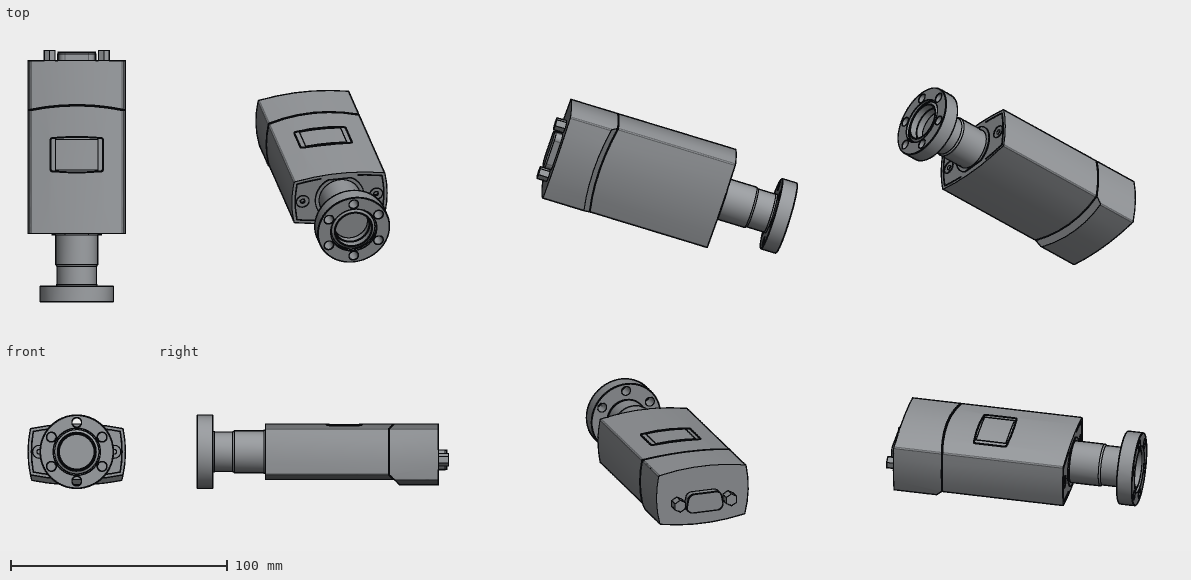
import cadquery as cq
import math


FLANGE_THICKNESS = 7.4
WELD_END = 8.2
NECK_END = 16.5
SLEEVE_START = 17.4
BODY_START = 31.5
BODY_END = 111.3
CONNECTOR_END = 115.2
NUT_END = 116.0

FLANGE_DIAMETER = 34.0
FLANGE_CHAMFER = 0.3
BOLT_CIRCLE_DIAMETER = 27.0
BOLT_HOLE_DIAMETER = 4.3
BOLT_COUNT = 6
EDGE_BREAK = 0.15
SEAL_RECESS_DIAMETER = 21.6
SEAL_RECESS_DEPTH = 1.3
KNIFE_FOOT_DIAMETER = 20.4
KNIFE_DIAMETER = 18.0
KNIFE_DEPTH = 0.6
BORE_DIAMETER = 16.0
BORE_DEPTH = 7.3
BORE_MOUTH_DIAMETER = 17.0
BORE_MOUTH_DEPTH = 4.0

WELD_DIAMETER = 18.7
NECK_DIAMETER = 18.4
SLEEVE_DIAMETER = 19.5
COLLAR_DIAMETER = 23.0
COLLAR_HEIGHT = 20.2
COLLAR_THICKNESS = 0.5

BODY_WIDTH = 45.0
BODY_HEIGHT = 25.8
SIDE_RADIUS = 52.0
CROWN_RADIUS = 105.0
BODY_EDGE_RADIUS = 0.7

COVER_DROP = 2.4
SEAM_Y = 88.7
SEAM_GAP = 0.45
SEAM_DEPTH = 0.25
SEAM_CORNER_Z = 10.5

PANEL_INSET = 1.5
PANEL_GROOVE = 0.2
PANEL_GROOVE_START = 8.7
SCREW_X = 17.3
SCREW_HEAD_DIAMETER = 6.0
SCREW_RECESS = 0.3
SCREW_SOCKET_DIAMETER = 2.16
SCREW_SOCKET_DEPTH = 1.0

WINDOW_Y = 67.95
WINDOW_WIDTH = 19.4
WINDOW_LENGTH = 14.0
WINDOW_DEPTH = 0.2
FRAME_WIDTH = 24.6
FRAME_LENGTH = 15.6
FRAME_BOW = 0.6
FRAME_CORNER_RADIUS = 1.2
FRAME_GROOVE = 0.4
FRAME_GROOVE_DEPTH = 0.25

CONNECTOR_Z = -3.7
CONNECTOR_WIDTH = 18.8
CONNECTOR_HEIGHT = 9.2
CONNECTOR_TAPER = math.radians(10)
CONNECTOR_CORNER_RADIUS = 2.9
CONNECTOR_LIP_LENGTH = 0.8
CONNECTOR_LIP_STEP = 0.1
NUT_SPACING = 25.1
NUT_ACROSS_FLATS = 5.1
HEX_HALF_ANGLE = 30


def plane_at(y):
    """XZ plane at the given Y; positive extrusion runs toward +Y and local Y is -Z."""
    return cq.Workplane(cq.Plane((0, y, 0), xDir=(1, 0, 0), normal=(0, 1, 0)))


def bowed_section(y, length, drop=0.0, inset=0.0):
    """Prism of the housing section, `drop` deeper at the bottom and shrunk by `inset` all round."""
    half_width = BODY_WIDTH / 2 - inset
    top = BODY_HEIGHT / 2 - inset
    bottom = -BODY_HEIGHT / 2 - drop + inset
    side_radius = SIDE_RADIUS - inset
    crown_radius = CROWN_RADIUS - inset
    reach = 2 * BODY_WIDTH

    def cylinder(radius, x, z):
        return plane_at(y).center(x, -z).circle(radius).extrude(length)

    crown = cylinder(crown_radius, 0, top - crown_radius)
    belly = cylinder(crown_radius, 0, bottom + crown_radius)
    left = cylinder(side_radius, side_radius - half_width, 0)
    right = cylinder(side_radius, half_width - side_radius, 0)
    block = plane_at(y).rect(reach, reach).extrude(length)
    return block.intersect(crown).intersect(belly).intersect(left).intersect(right)


def behind_seam(offset):
    """Space behind the seam: upright at mid height, sloping back at 45 degrees above and below."""
    top = BODY_HEIGHT
    y0 = SEAM_Y + offset
    rise = top - SEAM_CORNER_Z
    return (
        cq.Workplane("YZ")
        .moveTo(y0, -SEAM_CORNER_Z)
        .lineTo(y0, SEAM_CORNER_Z)
        .lineTo(y0 + rise, top)
        .lineTo(BODY_END, top)
        .lineTo(BODY_END, -top)
        .lineTo(y0 + rise, -top)
        .close()
        .extrude(BODY_WIDTH, both=True)
    )


def make_housing():
    length = BODY_END - BODY_START
    body = bowed_section(BODY_START, length).edges("|Y").fillet(BODY_EDGE_RADIUS)
    cover = bowed_section(BODY_START, length, COVER_DROP).edges("|Y").fillet(BODY_EDGE_RADIUS)
    core = bowed_section(BODY_START, length, 0, SEAM_DEPTH)
    seam = behind_seam(-SEAM_GAP).cut(behind_seam(0)).cut(core)
    return body.cut(seam).union(cover.intersect(behind_seam(0)))


def cut_front_panel(housing):
    groove = bowed_section(BODY_START, PANEL_GROOVE, 0, PANEL_INSET)
    groove = groove.cut(bowed_section(BODY_START, PANEL_GROOVE, 0, PANEL_INSET + PANEL_GROOVE))
    middle = plane_at(BODY_START).rect(2 * PANEL_GROOVE_START, 2 * BODY_HEIGHT).extrude(PANEL_GROOVE)
    housing = housing.cut(groove.cut(middle))
    places = [(-SCREW_X, 0), (SCREW_X, 0)]
    heads = plane_at(BODY_START).pushPoints(places).circle(SCREW_HEAD_DIAMETER / 2).extrude(SCREW_RECESS)
    sockets = (
        plane_at(BODY_START)
        .pushPoints(places)
        .circle(SCREW_SOCKET_DIAMETER / 2)
        .extrude(SCREW_RECESS + SCREW_SOCKET_DEPTH)
    )
    return housing.cut(heads).cut(sockets)


def frame_prism(inset):
    """Upright prism of the bowed window frame outline."""
    x = FRAME_WIDTH / 2 - inset
    y = FRAME_LENGTH / 2 - inset
    return (
        cq.Workplane("XY")
        .center(0, WINDOW_Y)
        .moveTo(-x, -y)
        .threePointArc((0, -y - FRAME_BOW), (x, -y))
        .lineTo(x, y)
        .threePointArc((0, y + FRAME_BOW), (-x, y))
        .close()
        .extrude(BODY_HEIGHT)
        .edges("|Z")
        .fillet(FRAME_CORNER_RADIUS - inset)
    )


def cut_window(housing):
    length = BODY_END - BODY_START
    groove = frame_prism(0).cut(frame_prism(FRAME_GROOVE))
    groove = groove.cut(bowed_section(BODY_START, length, 0, FRAME_GROOVE_DEPTH))
    window = (
        cq.Workplane("XY")
        .center(0, WINDOW_Y)
        .rect(WINDOW_WIDTH, WINDOW_LENGTH)
        .extrude(BODY_HEIGHT)
    )
    window = window.cut(bowed_section(BODY_START, length, 0, WINDOW_DEPTH))
    return housing.cut(groove).cut(window)


def make_neck():
    """Flange, neck and sleeve turned about the Y axis, with the knife edge and the blind bore."""
    flange = FLANGE_DIAMETER / 2
    return (
        cq.Workplane("XY")
        .moveTo(0, BORE_DEPTH)
        .lineTo(BORE_DIAMETER / 2, BORE_DEPTH)
        .lineTo(BORE_DIAMETER / 2, BORE_MOUTH_DEPTH)
        .lineTo(BORE_MOUTH_DIAMETER / 2, BORE_MOUTH_DEPTH)
        .lineTo(BORE_MOUTH_DIAMETER / 2, KNIFE_DEPTH)
        .lineTo(KNIFE_DIAMETER / 2, KNIFE_DEPTH)
        .lineTo(KNIFE_FOOT_DIAMETER / 2, SEAL_RECESS_DEPTH)
        .lineTo(SEAL_RECESS_DIAMETER / 2, SEAL_RECESS_DEPTH)
        .lineTo(SEAL_RECESS_DIAMETER / 2, EDGE_BREAK)
        .lineTo(SEAL_RECESS_DIAMETER / 2 + EDGE_BREAK, 0)
        .lineTo(flange - FLANGE_CHAMFER, 0)
        .lineTo(flange, FLANGE_CHAMFER)
        .lineTo(flange, FLANGE_THICKNESS - FLANGE_CHAMFER)
        .lineTo(flange - FLANGE_CHAMFER, FLANGE_THICKNESS)
        .lineTo(WELD_DIAMETER / 2, FLANGE_THICKNESS)
        .lineTo(WELD_DIAMETER / 2, WELD_END)
        .lineTo(NECK_DIAMETER / 2, WELD_END)
        .lineTo(NECK_DIAMETER / 2, NECK_END)
        .lineTo(SLEEVE_DIAMETER / 2, SLEEVE_START)
        .lineTo(SLEEVE_DIAMETER / 2, BODY_START)
        .lineTo(0, BODY_START)
        .close()
        .revolve(360, (0, 0, 0), (0, 1, 0))
    )


def cut_bolt_holes(neck):
    holes = (
        plane_at(0)
        .polarArray(BOLT_CIRCLE_DIAMETER / 2, 90, 360, BOLT_COUNT)
        .circle(BOLT_HOLE_DIAMETER / 2)
        .extrude(FLANGE_THICKNESS)
    )
    entry = BOLT_HOLE_DIAMETER / 2 + EDGE_BREAK
    countersinks = (
        plane_at(0)
        .polarArray(BOLT_CIRCLE_DIAMETER / 2, 90, 360, BOLT_COUNT)
        .circle(entry)
        .extrude(EDGE_BREAK, taper=45)
    )
    return neck.cut(holes).cut(countersinks)


def make_collar():
    disc = plane_at(BODY_START - COLLAR_THICKNESS).circle(COLLAR_DIAMETER / 2).extrude(COLLAR_THICKNESS)
    flats = plane_at(BODY_START - COLLAR_THICKNESS).rect(COLLAR_DIAMETER, COLLAR_HEIGHT)
    return disc.intersect(flats.extrude(COLLAR_THICKNESS))


def connector_shell(end, inset):
    """D-shaped prism, wider at the bottom, from the cover to `end` and shrunk by `inset` all round."""
    bottom_x = CONNECTOR_WIDTH / 2
    top_x = bottom_x - CONNECTOR_HEIGHT * math.tan(CONNECTOR_TAPER)
    half_height = CONNECTOR_HEIGHT / 2
    corners = [
        (-bottom_x, half_height),
        (bottom_x, half_height),
        (top_x, -half_height),
        (-top_x, -half_height),
    ]
    outline = plane_at(BODY_END).center(0, -CONNECTOR_Z).polyline(corners).close()
    if inset:
        outline = outline.offset2D(-inset)
    return outline.extrude(end - BODY_END).edges("|Y").fillet(CONNECTOR_CORNER_RADIUS - inset)


def make_connector():
    """D-shaped shell with a stepped lip, between two hexagonal nuts."""
    connector = connector_shell(CONNECTOR_END - CONNECTOR_LIP_LENGTH, 0)
    connector = connector.union(connector_shell(CONNECTOR_END, CONNECTOR_LIP_STEP))
    across_corners = NUT_ACROSS_FLATS / math.cos(math.radians(HEX_HALF_ANGLE))
    for x in (-NUT_SPACING / 2, NUT_SPACING / 2):
        nut = plane_at(BODY_END).center(x, -CONNECTOR_Z).transformed(rotate=(0, 0, HEX_HALF_ANGLE))
        connector = connector.union(nut.polygon(6, across_corners).extrude(NUT_END - BODY_END))
    return connector


housing = cut_window(cut_front_panel(make_housing()))
neck = cut_bolt_holes(make_neck())
result = housing.union(neck).union(make_collar()).union(make_connector())